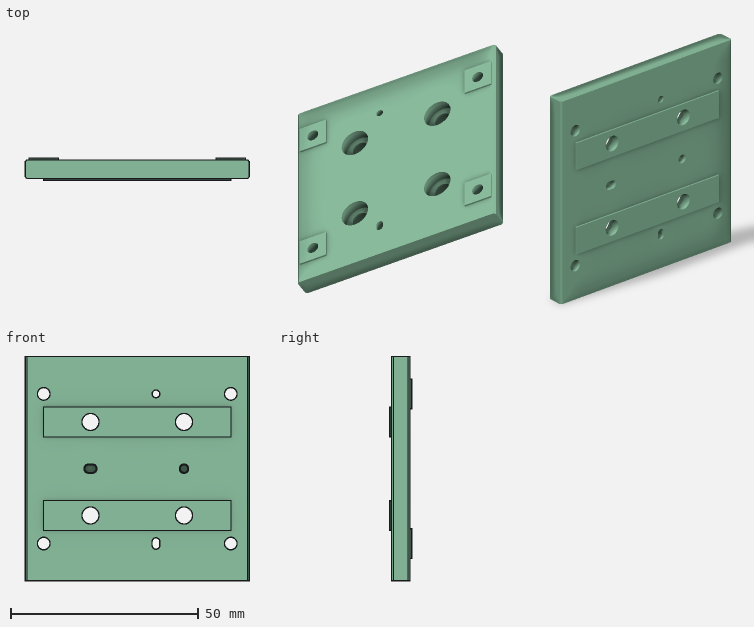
import cadquery as cq

plate_side = 60.0
plate_thickness = 5.0
front_y = -plate_thickness / 2
back_y = plate_thickness / 2
side_bevel = 0.5

pad_height = 0.5
strip_length = 50.0
strip_width = 8.0
foot_side = 8.0

corner_hole_diameter = 3.3
corner_x = 25.0
corner_z = 20.0
strip_hole_diameter = 4.5
strip_hole_x = 12.5
counterbore_diameter = 8.0
counterbore_depth = 3.0
strip_z = 12.5

pin_diameter = 2.0
slot_travel = 1.0
through_pin_x = 5.0
blind_pin_x = 12.5
blind_pin_depth = 3.0
pin_bevel = 0.25
bevel_angle = 45.0
upright = 90.0

corner_points = [(x, z) for x in (-corner_x, corner_x) for z in (-corner_z, corner_z)]
strip_hole_points = [(x, z) for x in (-strip_hole_x, strip_hole_x) for z in (-strip_z, strip_z)]


def front_plane(y):
    """Sketch plane at the given Y; positive extrusion goes to -Y."""
    return cq.Workplane("XZ", origin=(0, y, 0))


def make_plate():
    plate = cq.Workplane("XY").box(plate_side, plate_thickness, plate_side)
    return plate.edges("|Z").chamfer(side_bevel)


def make_strips():
    centres = [(0, -strip_z), (0, strip_z)]
    return front_plane(front_y).pushPoints(centres).rect(strip_length, strip_width).extrude(pad_height)


def make_feet():
    return front_plane(back_y).pushPoints(corner_points).rect(foot_side, foot_side).extrude(-pad_height)


def through_holes(points, diameter):
    start_y = front_y - pad_height
    length = plate_thickness + 2 * pad_height
    return front_plane(start_y).pushPoints(points).circle(diameter / 2).extrude(-length)


def counterbores():
    sketch = front_plane(back_y).pushPoints(strip_hole_points).circle(counterbore_diameter / 2)
    return sketch.extrude(counterbore_depth)


def pin_hole(x, z, depth, travel=0.0, angle=0.0, bevel=0.0):
    """Hole, or slot when it has travel, cut from the front face;
    a bevel widens the mouth."""
    def outline(diameter):
        sketch = front_plane(front_y).center(x, z)
        if travel:
            return sketch.slot2D(travel + diameter, diameter, angle)
        return sketch.circle(diameter / 2)

    bore = outline(pin_diameter).extrude(-depth)
    if not bevel:
        return bore
    rim = outline(pin_diameter + 2 * bevel).extrude(-bevel, taper=bevel_angle)
    return bore.union(rim)


result = make_plate().union(make_strips()).union(make_feet())
result = result.cut(through_holes(corner_points, corner_hole_diameter))
result = result.cut(through_holes(strip_hole_points, strip_hole_diameter))
result = result.cut(counterbores())
result = result.cut(pin_hole(through_pin_x, corner_z, plate_thickness))
result = result.cut(pin_hole(through_pin_x, -corner_z, plate_thickness, slot_travel, upright))
result = result.cut(pin_hole(blind_pin_x, 0, blind_pin_depth, bevel=pin_bevel))
result = result.cut(pin_hole(-blind_pin_x, 0, blind_pin_depth, slot_travel, bevel=pin_bevel))